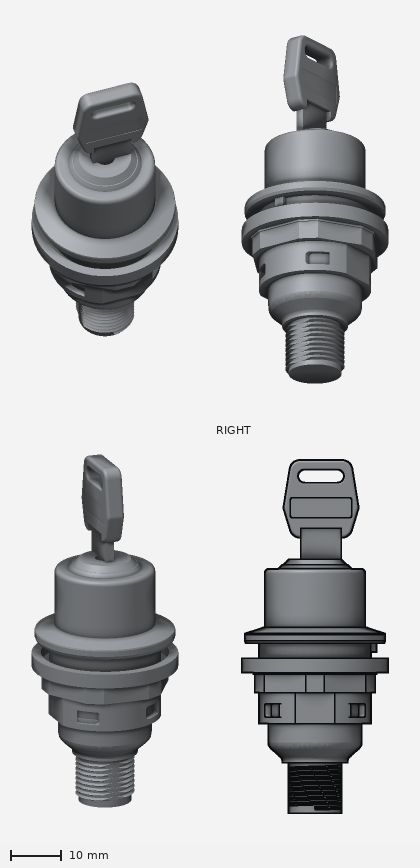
import cadquery as cq
import math

KEY_TOP_Z = 69.9
PLUG_TOP_Z = 50.25
PLUG_STEP_Z = 49.15
CAP_TOP_Z = 48.4
FLANGE_CONE_Z = 36.8
FLANGE_RIM_TOP_Z = 35.6
FLANGE_BOTTOM_Z = 33.6
RING_TOP_Z = 30.7
RING_BOTTOM_Z = 27.8
NUT_TOP_Z = 27.5
NUT_BOTTOM_Z = 23.9
COLLAR_BOTTOM_Z = 17.75
TAPER_TOP_Z = 13.3
TAPER_BOTTOM_Z = 10.8
SHANK_TOP_Z = 10.0

PLUG_TOP_R = 5.2
PLUG_STEP_R = 12.65 / 2
SEAT_INNER_R = 13.0 / 2
SEAT_OUTER_R = 7.3
CAP_R = 19.9 / 2
CAP_FILLET = 0.9
FLANGE_R = 27.9 / 2
FLANGE_EDGE_R = 27.4 / 2
FLANGE_CONE_TOP_R = 10.2
FLANGE_CONE_BASE_R = 13.85
FLANGE_TOP_BEVEL = 0.3
FLANGE_BOTTOM_BEVEL = 0.55
NECK_R = 22.2 / 2
RING_R = 29.0 / 2
RING_BORE_R = 25.4 / 2
RING_BORE_DEPTH = 2.2
BARREL_R = 18.5 / 2
BARREL_FILLET = 1.7
SPIGOT_R = 13.0 / 2
SPIGOT_FILLET = 0.8
SHANK_R = 5.25

NUT_APOTHEM = 11.95
NUT_CORNER_APOTHEM = 12.7
NUT_SHOULDER_OFFSET = 0.3

COLLAR_HALF_WIDTH = 10.4
WINDOW_INNER_X = 4.9
WINDOW_OUTER_X = 8.6
WINDOW_BOTTOM_Z = 19.0
WINDOW_TOP_Z = 21.7
WINDOW_FILLET = 0.6
SILL_R = 10.35
SILL_TOP_Z = 19.8
TAB_WIDTH = 2.0
TAB_REACH = 12.15
TAB_BOTTOM_Z = 31.9

THREAD_TURNS = 8.5
THREAD_CREST_R = 5.9
THREAD_ROOT_HALF = 0.405
THREAD_OVERLAP = 0.2
THREAD_BOTTOM_Z = 1.0
THREAD_TOP_Z = 9.5
THREAD_PITCH = (THREAD_TOP_Z - THREAD_BOTTOM_Z) / THREAD_TURNS

KEY_Y = 1.2
HEAD_THICKNESS = 3.6
HEAD_BOTTOM_Z = 54.45
HEAD_WIDE_Z = 60.4
HEAD_TOP_HALF = 5.95
HEAD_WIDE_HALF = 7.5
HEAD_BOTTOM_HALF = 5.65
HEAD_TOP_FILLET = 2.1
HEAD_SIDE_FILLET = 1.4
HEAD_BOTTOM_FILLET = 2.25
HEAD_EDGE_FILLET = 0.6
EYE_Z = 66.7
EYE_LENGTH = 9.0
EYE_HEIGHT = 2.5
EYE_EDGE_FILLET = 0.4
LABEL_LENGTH = 12.1
LABEL_BOTTOM_Z = 58.45
LABEL_TOP_Z = 62.4
LABEL_FILLET = 0.4
LABEL_DEPTH = 0.1
BLADE_THICKNESS = 1.6
BLADE_WIDTH = 8.05
BLADE_TOP_Z = 56.35
KEYHOLE_R = 1.95
KEYHOLE_DEPTH = 2.8

PICK_MARGIN = 0.1


def cylinder(radius, bottom, top):
    return cq.Workplane("XY").workplane(offset=bottom).circle(radius).extrude(top - bottom)


def block(x_range, y_range, z_range):
    spans = [high - low for low, high in (x_range, y_range, z_range)]
    return cq.Workplane("XY").box(*spans, centered=False).translate((x_range[0], y_range[0], z_range[0]))


def turned_body():
    """Plug, cap, flange, ring, collar, barrel and plain shank, all round about Z."""
    cap_shoulder_r = CAP_R - CAP_FILLET
    diagonal = CAP_FILLET * math.sin(math.pi / 4)
    cap_arc_mid = (cap_shoulder_r + diagonal, CAP_TOP_Z - CAP_FILLET + diagonal)
    body = (
        cq.Workplane("XZ")
        .moveTo(0, 0)
        .lineTo(SHANK_R, 0)
        .lineTo(SHANK_R, SHANK_TOP_Z)
        .lineTo(BARREL_R, SHANK_TOP_Z)
        .lineTo(BARREL_R, COLLAR_BOTTOM_Z)
        .lineTo(NECK_R, COLLAR_BOTTOM_Z)
        .lineTo(NECK_R, RING_BOTTOM_Z)
        .lineTo(RING_R, RING_BOTTOM_Z)
        .lineTo(RING_R, RING_TOP_Z)
        .lineTo(RING_BORE_R, RING_TOP_Z)
        .lineTo(RING_BORE_R, RING_TOP_Z - RING_BORE_DEPTH)
        .lineTo(NECK_R, RING_TOP_Z - RING_BORE_DEPTH)
        .lineTo(NECK_R, FLANGE_BOTTOM_Z)
        .lineTo(FLANGE_EDGE_R, FLANGE_BOTTOM_Z)
        .lineTo(FLANGE_R, FLANGE_BOTTOM_Z + FLANGE_BOTTOM_BEVEL)
        .lineTo(FLANGE_R, FLANGE_RIM_TOP_Z - FLANGE_TOP_BEVEL)
        .lineTo(FLANGE_CONE_BASE_R, FLANGE_RIM_TOP_Z)
        .lineTo(FLANGE_CONE_TOP_R, FLANGE_CONE_Z)
        .lineTo(CAP_R, FLANGE_CONE_Z)
        .lineTo(CAP_R, CAP_TOP_Z - CAP_FILLET)
        .threePointArc(cap_arc_mid, (cap_shoulder_r, CAP_TOP_Z))
        .lineTo(SEAT_OUTER_R, CAP_TOP_Z)
        .lineTo(SEAT_INNER_R, PLUG_STEP_Z)
        .lineTo(PLUG_STEP_R, PLUG_STEP_Z)
        .lineTo(PLUG_TOP_R, PLUG_TOP_Z)
        .lineTo(0, PLUG_TOP_Z)
        .close()
        .revolve(360, (0, 0, 0), (0, 1, 0))
    )
    return body.intersect(barrel_envelope())


def barrel_envelope():
    """Round blank whose lower end tapers from the barrel to the spigot with blended corners."""
    blank = cylinder(RING_R, COLLAR_BOTTOM_Z, KEY_TOP_Z)
    taper = (
        cq.Workplane("XZ")
        .moveTo(0, 0)
        .lineTo(SPIGOT_R, 0)
        .lineTo(SPIGOT_R, TAPER_BOTTOM_Z)
        .lineTo(BARREL_R, TAPER_TOP_Z)
        .lineTo(BARREL_R, COLLAR_BOTTOM_Z)
        .lineTo(0, COLLAR_BOTTOM_Z)
        .close()
        .revolve(360, (0, 0, 0), (0, 1, 0))
    )
    for radius, height, fillet in (
        (BARREL_R, TAPER_TOP_Z, BARREL_FILLET),
        (SPIGOT_R, TAPER_BOTTOM_Z, SPIGOT_FILLET),
    ):
        low = (-radius - PICK_MARGIN, -radius - PICK_MARGIN, height - PICK_MARGIN)
        high = (radius + PICK_MARGIN, radius + PICK_MARGIN, height + PICK_MARGIN)
        taper = taper.edges(cq.selectors.BoxSelector(low, high, boundingbox=True)).fillet(fillet)
    return blank.union(taper)


def hexagon(apothem, bottom, top, turn=0):
    """Hexagonal prism with two flats facing +Y and -Y before it is turned about Z."""
    across_corners = 2 * apothem / math.cos(math.pi / 6)
    prism = cq.Workplane("XY").workplane(offset=bottom).polygon(6, across_corners).extrude(top - bottom)
    return prism.rotate((0, 0, 0), (0, 0, 1), turn)


def truncated_hexagon(offset, bottom, top):
    flats = hexagon(NUT_APOTHEM + offset, bottom, top)
    corners = hexagon(NUT_CORNER_APOTHEM + offset, bottom, top, turn=30)
    return flats.intersect(corners)


def nut():
    shoulder = truncated_hexagon(NUT_SHOULDER_OFFSET, NUT_TOP_Z, RING_BOTTOM_Z)
    return truncated_hexagon(0, NUT_BOTTOM_Z, NUT_TOP_Z).union(shoulder)


def collar_flats():
    """Material removed beyond the flats on the -X and +X sides of the collar."""
    span = (-NECK_R, NECK_R)
    heights = (COLLAR_BOTTOM_Z, NUT_BOTTOM_Z)
    left = block((-RING_R, -COLLAR_HALF_WIDTH), span, heights)
    return left.union(left.mirror("YZ"))


def collar_windows():
    """Four windows, cut along Y, that stop at a cylinder as wide as the cap."""
    window = block(
        (WINDOW_INNER_X, WINDOW_OUTER_X),
        (0, RING_R),
        (WINDOW_BOTTOM_Z, WINDOW_TOP_Z),
    )
    window = window.edges("|Y and <X").fillet(WINDOW_FILLET)
    window = window.cut(cylinder(CAP_R, COLLAR_BOTTOM_Z, NUT_BOTTOM_Z))
    pair = window.union(window.mirror("YZ"))
    return pair.union(pair.mirror("XZ"))


def window_sill():
    """Low ledge on the floor of the window at -X, -Y."""
    quarter = block(
        (-WINDOW_OUTER_X, -WINDOW_INNER_X),
        (-RING_R, 0),
        (WINDOW_BOTTOM_Z, SILL_TOP_Z),
    )
    return quarter.intersect(cylinder(SILL_R, WINDOW_BOTTOM_Z, SILL_TOP_Z))


def locating_tab():
    return block((-TAB_WIDTH / 2, TAB_WIDTH / 2), (0, TAB_REACH), (TAB_BOTTOM_Z, FLANGE_BOTTOM_Z))


def thread():
    """Right-handed ridge wound on the shank and trimmed flush with it at -Y and +Y."""
    root_r = SHANK_R - THREAD_OVERLAP
    length = THREAD_TOP_Z - THREAD_BOTTOM_Z
    helix = cq.Workplane(obj=cq.Wire.makeHelix(THREAD_PITCH, length, root_r))
    ridge = (
        cq.Workplane("XZ")
        .polyline([
            (root_r, -THREAD_ROOT_HALF),
            (THREAD_CREST_R, 0),
            (root_r, THREAD_ROOT_HALF),
        ])
        .close()
        .sweep(helix, isFrenet=True)
        .translate((0, 0, THREAD_BOTTOM_Z))
    )
    across_flats = (-SHANK_R, SHANK_R)
    return ridge.intersect(block((-SPIGOT_R, SPIGOT_R), across_flats, (0, SHANK_TOP_Z)))


def key_head():
    half_outline = [
        (HEAD_BOTTOM_HALF, HEAD_BOTTOM_Z),
        (HEAD_WIDE_HALF, HEAD_WIDE_Z),
        (HEAD_TOP_HALF, KEY_TOP_Z),
    ]
    outline = half_outline + [(-y, z) for y, z in reversed(half_outline)]
    head = cq.Workplane("YZ").polyline(outline).close().extrude(HEAD_THICKNESS / 2, both=True)
    head = head.edges("|X and >Z").fillet(HEAD_TOP_FILLET)
    head = head.edges("|X and <Z").fillet(HEAD_BOTTOM_FILLET)
    head = head.edges(cq.selectors.BoxSelector(
        (-HEAD_THICKNESS, -RING_R, HEAD_WIDE_Z - PICK_MARGIN),
        (HEAD_THICKNESS, RING_R, HEAD_WIDE_Z + PICK_MARGIN),
    )).edges("|X").fillet(HEAD_SIDE_FILLET)
    head = head.faces("<X or >X").edges().fillet(HEAD_EDGE_FILLET)

    eye = cq.Workplane("YZ").center(0, EYE_Z).slot2D(EYE_LENGTH, EYE_HEIGHT)
    eye = eye.extrude(HEAD_THICKNESS / 2, both=True)
    head = head.cut(eye)
    eye_zone = cq.selectors.BoxSelector(
        (-HEAD_THICKNESS, -EYE_LENGTH / 2 - PICK_MARGIN, EYE_Z - EYE_HEIGHT / 2 - PICK_MARGIN),
        (HEAD_THICKNESS, EYE_LENGTH / 2 + PICK_MARGIN, EYE_Z + EYE_HEIGHT / 2 + PICK_MARGIN),
        boundingbox=True,
    )
    head = head.faces("<X or >X").edges(eye_zone).fillet(EYE_EDGE_FILLET)

    label_inner_x = HEAD_THICKNESS / 2 - LABEL_DEPTH
    label = block(
        (label_inner_x, HEAD_THICKNESS),
        (-LABEL_LENGTH / 2, LABEL_LENGTH / 2),
        (LABEL_BOTTOM_Z, LABEL_TOP_Z),
    ).edges("|X").fillet(LABEL_FILLET)
    return head.cut(label).cut(label.mirror("YZ"))


def key():
    """Head, notched to the width of the blade, and the blade down to the keyhole floor."""
    blade_y = (-BLADE_WIDTH / 2, BLADE_WIDTH / 2)
    blade_x = (-BLADE_THICKNESS / 2, BLADE_THICKNESS / 2)
    notch = block((-HEAD_THICKNESS, HEAD_THICKNESS), blade_y, (0, BLADE_TOP_Z))
    blade = block(blade_x, blade_y, (PLUG_TOP_Z - KEYHOLE_DEPTH, BLADE_TOP_Z))
    return key_head().cut(notch).union(blade).translate((0, KEY_Y, 0))


keyhole = cylinder(KEYHOLE_R, PLUG_TOP_Z - KEYHOLE_DEPTH, PLUG_TOP_Z)
body = turned_body().cut(collar_flats()).cut(collar_windows()).cut(keyhole)
for feature in (nut(), locating_tab(), window_sill(), thread(), key()):
    body = body.union(feature)
result = body